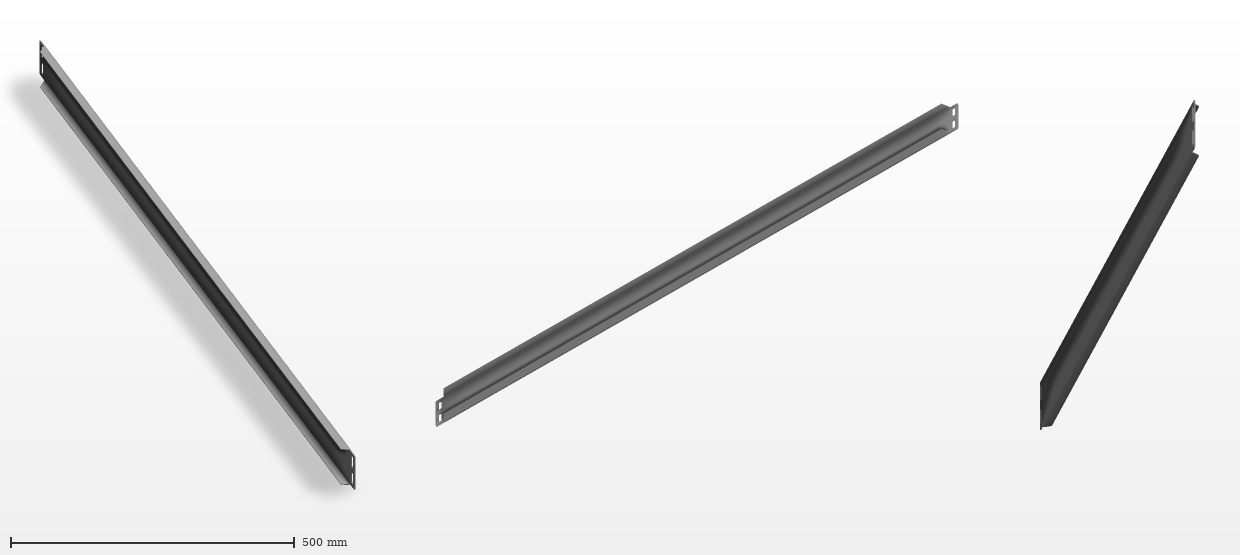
import cadquery as cq

length = 1095.0
depth = 15.0
height = 100.0
sheet = 2.0
bend_radius = 3.0

tab_height = 95.0
tab_corner_radius = 3.0

flange_inset = 18.0
flange_tip_inset = 25.0

slot_width = 7.1
slot_height = 31.0
slot_end_distance = 9.0
slot_offset = 23.0

half_length = length / 2
half_flange = half_length - flange_inset
half_tip = half_length - flange_tip_inset
bend_front = -bend_radius


def web_plate():
    """Flat sheet spanning the full length, with rounded corners."""
    plate = cq.Workplane("XY").box(length, sheet, tab_height).edges("|Y").fillet(tab_corner_radius)
    return plate.translate((0, -sheet / 2, 0))


def flanged_channel():
    """Bent channel, trimmed to the sloping flange ends."""
    outer = (
        cq.Workplane("XY")
        .box(length, depth, height)
        .translate((0, -depth / 2, 0))
        .edges("|X and >Y")
        .fillet(bend_radius)
    )
    inner = (
        cq.Workplane("XY")
        .box(length, depth, height - 2 * sheet)
        .translate((0, -depth / 2 - sheet, 0))
        .edges("|X and >Y")
        .fillet(bend_radius - sheet)
    )
    trim = (
        cq.Workplane("XY")
        .polyline([
            (-half_flange, 0),
            (half_flange, 0),
            (half_flange, bend_front),
            (half_tip, -depth),
            (-half_tip, -depth),
            (-half_flange, bend_front),
        ])
        .close()
        .extrude(height / 2, both=True)
    )
    return outer.cut(inner).intersect(trim)


def mounting_slots():
    """Round-ended cutters through the web at both ends."""
    slot_x = half_length - slot_end_distance
    centres = [(x, z) for x in (-slot_x, slot_x) for z in (-slot_offset, slot_offset)]
    return (
        cq.Workplane("XZ")
        .pushPoints(centres)
        .slot2D(slot_height, slot_width, 90)
        .extrude(sheet)
    )


result = web_plate().union(flanged_channel()).cut(mounting_slots())